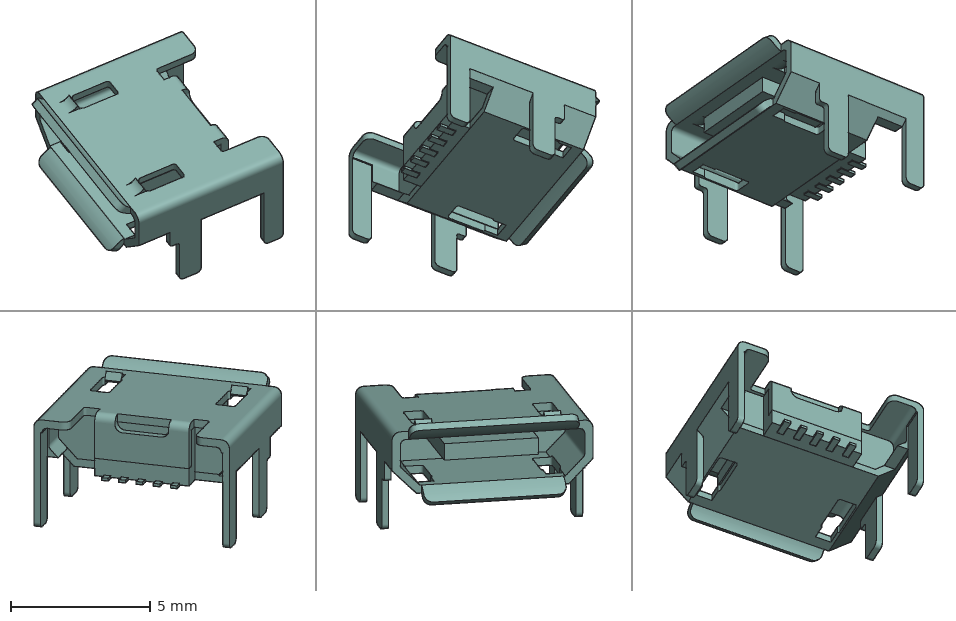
import cadquery as cq
import math

SHELL_WIDTH = 7.4
SHELL_DEPTH = 6.0
SHELL_HEIGHT = 2.345
SHEET = 0.3
BEND_RADIUS = 0.3
INNER_RADIUS = 0.2
SLOPE_START = 1.45

LIP_REACH = 0.6
LIP_RISE = 0.36
LIP_RADIUS = 1.48
LIP_END_TILT = 54.0
LIP_CORNER = 0.3
TOP_LIP_WIDTH = 6.215
BOTTOM_LIP_WIDTH = 5.24

LEG_THICKNESS = 0.25
LEG_BOTTOM = -4.145
LEG_CORNER = 0.2
REAR_LEG_FRONT = 5.2
FRONT_LEG_FRONT = 1.68
FRONT_LEG_REAR = 2.59
SHOULDER_FRONT = 1.29
SHOULDER_BOTTOM = -2.2
SHOULDER_CORNER = 0.1

REAR_CUT_Y = 4.11
REAR_CUT_Z = -1.68
SLOT_FRONT = 4.225
SLOT_INNER = 1.78
SLOT_OUTER = 2.375
SLOT_CORNER = 0.1
ARM_CORNER = 0.3
FLAP_REAR = 4.83
NOTCH_WIDTH = 2.03
NOTCH_CORNER = 0.29

WINDOW_X = 2.375
WINDOW_WIDTH = 0.73
WINDOW_FRONT = 0.94
WINDOW_REAR = 2.48
WINDOW_CORNER = 0.1
TAB_WIDTH = 0.615
TAB_FRONT = 0.43
TAB_TIP_Y = 0.8
TAB_TIP_Z = 0.18

INSULATOR_FRONT = 3.18
TONGUE_WIDTH = 3.46
TONGUE_FRONT = 0.215
TONGUE_TOP = -0.615
TONGUE_BOTTOM = -1.23

PIN_COUNT = 5
PIN_PITCH = 0.65
PIN_WIDTH = 0.25
PIN_FRONT = 4.49
PIN_REAR = 5.12
PIN_TOP = -2.28
PIN_BOTTOM = -2.39

HALF_WIDTH = SHELL_WIDTH / 2
INNER_HALF_WIDTH = HALF_WIDTH - SHEET
LEG_INNER_X = HALF_WIDTH - LEG_THICKNESS
FLOOR_Z = SHEET - SHELL_HEIGHT
FLOOR_HALF_WIDTH = HALF_WIDTH - (SHELL_HEIGHT - SLOPE_START)
INNER_SLOPE_START = SLOPE_START + SHEET - SHEET * math.sqrt(2)
INNER_FLOOR_HALF_WIDTH = INNER_HALF_WIDTH - (-FLOOR_Z - INNER_SLOPE_START)


def box(x_range, y_range, z_range):
    """Axis-aligned block between the given limits."""
    size = [high - low for low, high in (x_range, y_range, z_range)]
    return cq.Workplane("XY").box(*size, centered=False).translate((x_range[0], y_range[0], z_range[0]))


def extrude_rearward(outline, front, rear):
    """Extrude a list of (x, z) points from y = front to y = rear."""
    return cq.Workplane("XZ", origin=(0, front, 0)).polyline(outline).close().extrude(front - rear)


def trapezoid(half_width, top, slope_start, bottom_half_width, bottom):
    """Outline with upright sides above two 45 degree slopes."""
    return [
        (-half_width, top),
        (half_width, top),
        (half_width, -slope_start),
        (bottom_half_width, bottom),
        (-bottom_half_width, bottom),
        (-half_width, -slope_start),
    ]


def cavity(front, rear):
    """Space inside the shell, with its rounded upper and side corners."""
    outline = trapezoid(INNER_HALF_WIDTH, -SHEET, INNER_SLOPE_START, INNER_FLOOR_HALF_WIDTH, FLOOR_Z)
    upper_edges = cq.selectors.BoxSelector(
        (-SHELL_WIDTH, front - 0.075, FLOOR_Z + 0.075), (SHELL_WIDTH, rear + 0.075, 0.075)
    )
    return extrude_rearward(outline, front, rear).edges("|Y").edges(upper_edges).fillet(INNER_RADIUS)


def shell_tube():
    outline = trapezoid(HALF_WIDTH, 0, SLOPE_START, FLOOR_HALF_WIDTH, -SHELL_HEIGHT)
    tube = extrude_rearward(outline, 0, SHELL_DEPTH).edges("|Y").edges(">Z").fillet(BEND_RADIUS)
    return tube.cut(cavity(0, SHELL_DEPTH))


def top_lip(width):
    """Lip curving up and forward from the front edge of the top plate."""
    tilt = math.radians(LIP_END_TILT)
    upper_tip = (SHEET * math.sin(tilt) - LIP_REACH, LIP_RISE)
    lower_tip = (-LIP_REACH, LIP_RISE - SHEET * math.cos(tilt))
    lip = (
        cq.Workplane("YZ", origin=(-width / 2, 0, 0))
        .moveTo(0, 0)
        .radiusArc(upper_tip, LIP_RADIUS)
        .lineTo(*lower_tip)
        .radiusArc((0, -SHEET), -LIP_RADIUS)
        .close()
        .extrude(width)
    )
    end_face = cq.selectors.NearestToPointSelector(
        (0, (upper_tip[0] + lower_tip[0]) / 2, (upper_tip[1] + lower_tip[1]) / 2)
    )
    return lip.faces(end_face).edges("not(|X)").fillet(LIP_CORNER)


def bottom_lip(width):
    """The same curve, turned downward from the front edge of the floor."""
    return top_lip(width).mirror("XY", (0, 0, -SHELL_HEIGHT / 2))


def leg_pair(leg):
    """The given leg of the +X side together with its mirror image."""
    return leg.union(leg.mirror("YZ"))


def leg_strip(front, rear, bottom, corner):
    """Strip hanging from the side wall on the +X side, with rounded lower corners."""
    strip = box((LEG_INNER_X, HALF_WIDTH), (front, rear), (bottom, -SLOPE_START))
    return strip.edges("|X and <Z").fillet(corner)


def rear_legs():
    return leg_pair(leg_strip(REAR_LEG_FRONT, SHELL_DEPTH, LEG_BOTTOM, LEG_CORNER))


def front_legs():
    """Legs with a short, wider shoulder on the front side."""
    leg = leg_strip(FRONT_LEG_FRONT, FRONT_LEG_REAR, LEG_BOTTOM, LEG_CORNER)
    shoulder = box(
        (LEG_INNER_X, HALF_WIDTH),
        (SHOULDER_FRONT, FRONT_LEG_REAR),
        (SHOULDER_BOTTOM, -SLOPE_START),
    )
    shoulder = shoulder.edges("|X and <Z and <Y").fillet(SHOULDER_CORNER)
    inside_corner = cq.selectors.NearestToPointSelector((HALF_WIDTH, FRONT_LEG_FRONT, SHOULDER_BOTTOM))
    return leg_pair(leg.union(shoulder).edges("|X").edges(inside_corner).fillet(SHOULDER_CORNER))


def rear_flap():
    """Tab folded down from the rear of the top plate, notched from above in the middle."""
    front = SLOT_FRONT - SLOT_CORNER
    plate = box((-SLOT_INNER, SLOT_INNER), (front, FLAP_REAR), (-SHEET, 0))
    skirt = box((-SLOT_INNER, SLOT_INNER), (FLAP_REAR - SHEET, FLAP_REAR), (REAR_CUT_Z, 0))
    flap = plate.union(skirt).edges("|X and >Y and >Z").fillet(BEND_RADIUS)
    notch = box(
        (-NOTCH_WIDTH / 2, NOTCH_WIDTH / 2),
        (FLAP_REAR - SHEET, FLAP_REAR),
        (-BEND_RADIUS - NOTCH_CORNER, 0),
    )
    return flap.cut(notch.edges("|Y and <Z").fillet(NOTCH_CORNER))


def rear_opening():
    """Opening between the two rear arms of the top plate."""
    opening = box((-SLOT_OUTER, SLOT_OUTER), (SLOT_FRONT, SHELL_DEPTH), (-SHEET, 0))
    return opening.edges("|Z and <Y").fillet(SLOT_CORNER)


def window(x):
    """Latch opening through the top plate and the floor."""
    opening = box(
        (x - WINDOW_WIDTH / 2, x + WINDOW_WIDTH / 2), (WINDOW_FRONT, WINDOW_REAR), (-SHELL_HEIGHT, 0)
    )
    opening = opening.edges("|Z").fillet(WINDOW_CORNER)
    tab_opening = box(
        (x - TAB_WIDTH / 2, x + TAB_WIDTH / 2),
        (TAB_FRONT, WINDOW_FRONT + WINDOW_CORNER),
        (-SHELL_HEIGHT, 0),
    )
    return opening.union(tab_opening)


def latch_tab(x):
    """Tab of curved sheet rising out of the top plate towards its window."""
    tip_run = TAB_TIP_Y - TAB_FRONT
    upper_radius = (tip_run**2 + TAB_TIP_Z**2) / (2 * TAB_TIP_Z)
    lower_radius = upper_radius + SHEET
    foot_run = WINDOW_FRONT - TAB_FRONT
    foot_z = upper_radius - math.sqrt(lower_radius**2 - foot_run**2)
    return (
        cq.Workplane("YZ", origin=(x - TAB_WIDTH / 2, 0, 0))
        .moveTo(TAB_FRONT, 0)
        .radiusArc((TAB_TIP_Y, TAB_TIP_Z), -upper_radius)
        .lineTo(WINDOW_FRONT, foot_z)
        .radiusArc((TAB_FRONT, -SHEET), lower_radius)
        .close()
        .extrude(TAB_WIDTH)
    )


def shell():
    body = shell_tube()
    body = body.cut(
        box((-HALF_WIDTH, HALF_WIDTH), (REAR_CUT_Y, SHELL_DEPTH), (-SHELL_HEIGHT, REAR_CUT_Z))
    )
    body = body.cut(
        box(
            (-LEG_INNER_X, LEG_INNER_X),
            (REAR_LEG_FRONT, SHELL_DEPTH),
            (REAR_CUT_Z, -SHEET - INNER_RADIUS),
        )
    )
    body = body.cut(rear_opening())
    arm_edges = cq.selectors.BoxSelector(
        (-SLOT_OUTER - 0.075, SHELL_DEPTH - 0.075, -SHEET - 0.075), (SLOT_OUTER + 0.075, SHELL_DEPTH + 0.075, 0.075)
    )
    body = body.edges("|Z").edges(arm_edges).fillet(ARM_CORNER)
    body = body.union(rear_flap())
    body = body.union(top_lip(TOP_LIP_WIDTH)).union(bottom_lip(BOTTOM_LIP_WIDTH))
    body = body.union(rear_legs()).union(front_legs())
    for x in (-WINDOW_X, WINDOW_X):
        body = body.cut(window(x)).union(latch_tab(x))
    return body


def pin(x):
    return box((x - PIN_WIDTH / 2, x + PIN_WIDTH / 2), (PIN_FRONT, PIN_REAR), (PIN_BOTTOM, PIN_TOP))


def insulator(pin_bodies):
    body = cavity(INSULATOR_FRONT, REAR_CUT_Y)
    tongue = box(
        (-TONGUE_WIDTH / 2, TONGUE_WIDTH / 2),
        (TONGUE_FRONT, INSULATOR_FRONT),
        (TONGUE_BOTTOM, TONGUE_TOP),
    )
    rear_block = box(
        (-SLOT_INNER, SLOT_INNER), (REAR_CUT_Y, FLAP_REAR - SHEET), (-SHELL_HEIGHT, -SHEET)
    )
    foot = box((-SLOT_INNER, SLOT_INNER), (REAR_CUT_Y, FLAP_REAR), (-SHELL_HEIGHT, REAR_CUT_Z))
    body = body.union(tongue).union(rear_block).union(foot)
    for pin_body in pin_bodies:
        body = body.cut(pin_body)
    return body


pin_offsets = [(i - (PIN_COUNT - 1) / 2) * PIN_PITCH for i in range(PIN_COUNT)]
pins = [pin(x) for x in pin_offsets]
metal_shell = shell().solids()
housing = insulator(pins).solids()
result = cq.Compound.makeCompound([metal_shell.val(), housing.val(), *[p.val() for p in pins]])